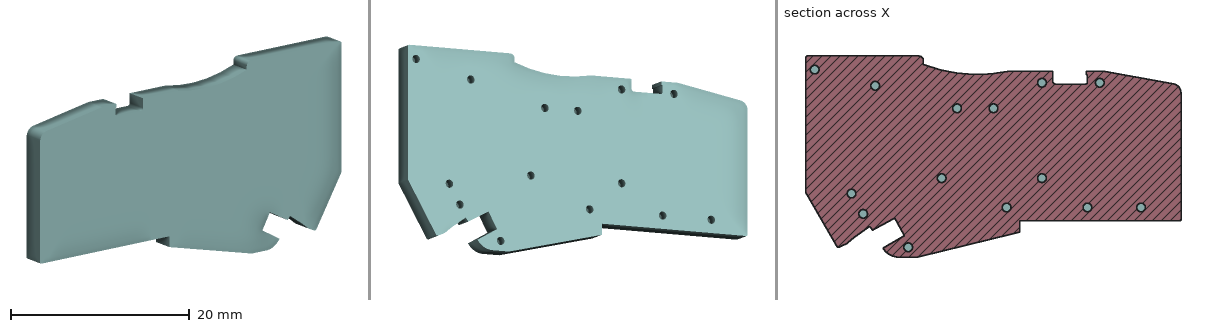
import cadquery as cq

length = 42.0
height = 22.55
thickness = 2.5

raised_end = 13.2
raised_radius = 0.55
dip_start_up = 21.6
dip_low = (18.5, 20.5)
dip_end = 22.65
shoulder_up = 20.85
notch_start = 27.65
notch_end = 31.45
notch_lip = 0.13
notch_lip_height = 0.4
notch_floor_up = 19.4
notch_radius = 0.35
slope_start = 33.4
slope_end_up = 19.28
nose_radius = 1.1

base_up = 4.07
step_along = 24.0
step_up = 2.8
belly_start = 12.47
small_radius = 0.15

foot_flat_start = 10.35
foot_curve_mid = (9.25, 0.38)
foot_tip = (8.6, 1.05)
mouth_lower = (11.0, 2.45)
mouth_upper = (9.95, 4.35)
catch_bottom = (7.48, 3.02)
catch_top = (7.15, 3.45)
heel_bend = (5.38, 2.2)
heel_outer_bend = (4.58, 1.5)
heel_tip = (3.55, 1.05)
heel_radius = 0.2
end_bottom_up = 7.22

hole_diameter = 0.92
hole_depth = 1.25
holes = [
    (1.0, 21.0), (7.75, 19.2), (16.93, 16.67), (21.0, 16.67), (26.4, 19.55), (32.9, 19.55),
    (15.2, 8.85), (26.4, 8.85), (22.45, 5.6), (31.5, 5.6), (37.5, 5.6),
    (5.12, 7.15), (6.43, 4.87), (11.45, 1.15),
]


def place(point):
    """Turn an (along, up) position into centred (Y, Z) coordinates."""
    along, up = point
    return (length / 2 - along, up - height / 2)


def face_plane():
    """Workplane on the -X face, pointing into the plate."""
    return cq.Workplane("YZ", origin=(-thickness / 2, 0, 0))


def plate():
    """Extrude the outline, with its corners still sharp."""
    lip_up = shoulder_up - notch_lip_height
    start = (0, end_bottom_up)
    top_before_dip = [(0, height), (raised_end, height), (raised_end, dip_start_up)]
    dip_finish = (dip_end, shoulder_up)
    dip_to_foot = [
        (notch_start, shoulder_up),
        (notch_start, notch_floor_up),
        (notch_end, notch_floor_up),
        (notch_end, lip_up),
        (notch_end - notch_lip, lip_up),
        (notch_end - notch_lip, shoulder_up),
        (slope_start, shoulder_up),
        (length, slope_end_up),
        (length, base_up),
        (step_along, base_up),
        (step_along, step_up),
        (belly_start, 0),
        (foot_flat_start, 0),
    ]
    foot_to_heel = [
        mouth_lower,
        mouth_upper,
        catch_bottom,
        catch_top,
        heel_bend,
        heel_outer_bend,
        heel_tip,
    ]

    outline = face_plane().moveTo(*place(start))
    for point in top_before_dip:
        outline = outline.lineTo(*place(point))
    outline = outline.threePointArc(place(dip_low), place(dip_finish))
    for point in dip_to_foot:
        outline = outline.lineTo(*place(point))
    outline = outline.threePointArc(place(foot_curve_mid), place(foot_tip))
    for point in foot_to_heel:
        outline = outline.lineTo(*place(point))
    return outline.close().extrude(thickness)


def round_corner(body, corner, radius):
    """Round the edge that runs through the plate at an outline corner."""
    y, z = place(corner)
    edge = cq.selectors.NearestToPointSelector((0, y, z))
    return body.edges("|X").edges(edge).fillet(radius)


rounded_corners = [
    ((0, height), small_radius),
    ((raised_end, height), raised_radius),
    ((notch_start, notch_floor_up), notch_radius),
    ((notch_end, notch_floor_up), small_radius),
    ((length, slope_end_up), nose_radius),
    ((length, base_up), small_radius),
    (heel_tip, heel_radius),
]

result = plate()
for corner, radius in rounded_corners:
    result = round_corner(result, corner, radius)

hole_cutters = (
    face_plane()
    .pushPoints([place(hole) for hole in holes])
    .circle(hole_diameter / 2)
    .extrude(hole_depth)
)
result = result.cut(hole_cutters)